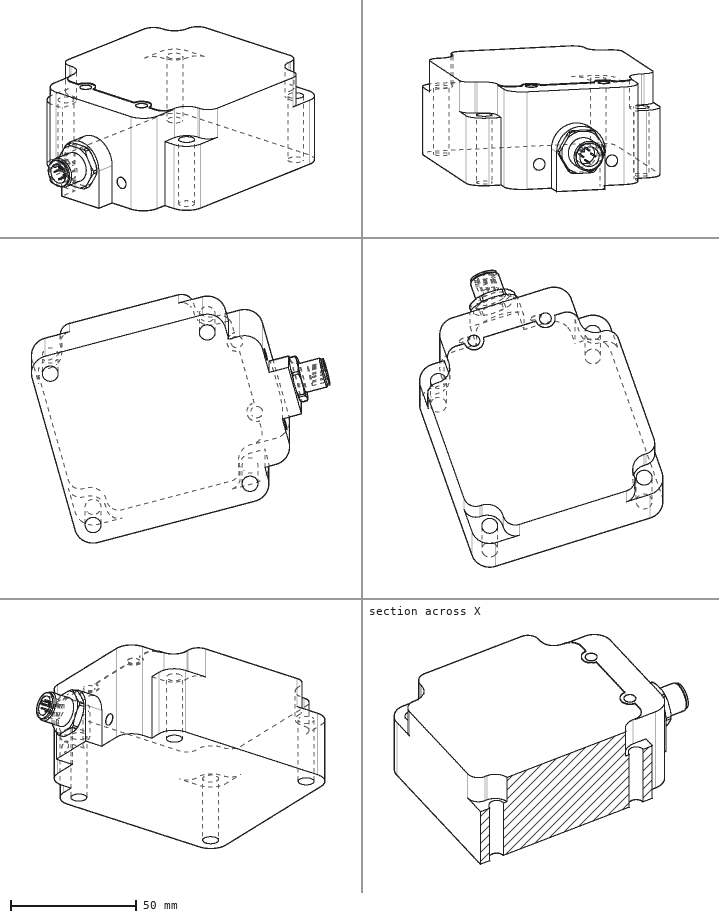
import cadquery as cq
import math

PLATE_SIDE = 80.0
PLATE_CORNER_RADIUS = 7.5
TOTAL_HEIGHT = 40.0
LID_RISE = 0.3
HOUSING_HEIGHT = TOTAL_HEIGHT - LID_RISE
HALF_SIDE = PLATE_SIDE / 2

HOLE_SPACING = 65.0
HOLE_DIAMETER = 6.3
STEP_DEPTH = 12.5
NECK_WIDTH = 55.0
STEP_WIDTH = (PLATE_SIDE - NECK_WIDTH) / 2
STEP_INNER_RADIUS = 6.5
STEP_OUTER_RADIUS = 5.0

NECK_LENGTH = 12.0
NECK_FRONT = -HALF_SIDE - NECK_LENGTH

LIGHT_OFFSET = 15.0
LIGHT_RADIUS = 2.4
LIGHT_RECESS = 0.1
LIGHT_NOTCH_RADIUS = 4.0
FRONT_LIGHT_HEIGHT = 10.0
TOP_LIGHT_CENTRES = [(-LIGHT_OFFSET, -HALF_SIDE), (LIGHT_OFFSET, -HALF_SIDE)]

CONNECTOR_HEIGHT = 16.0
BOSS_WIDTH = 20.0
BOSS_RADIUS = BOSS_WIDTH / 2
BOSS_LENGTH = 7.9
NUT_FLATS = 17.0
NUT_ROUNDING_DIAMETER = 19.0
NUT_LENGTH = 3.0
NUT_CHAMFER_LENGTH = 0.5
NUT_CHAMFER_DEPTH = 0.8
OVERALL_LENGTH = 113.0
THREAD_RADIUS = 6.0
THREAD_CHAMFER = 0.6
TIP_RADIUS = THREAD_RADIUS - THREAD_CHAMFER
TIP_LENGTH = 0.8
SOCKET_RADIUS = 4.0
SOCKET_DEPTH = 6.8
KEY_SIDE = 1.1
KEY_OFFSET = 2.6
PIN_RADIUS = 0.25
PIN_CIRCLE_RADIUS = 2.5
PIN_LENGTH = 6.4
KEY_LENGTH = PIN_LENGTH
PIN_COUNT = 4

BOSS_FRONT = NECK_FRONT - BOSS_LENGTH
NUT_FRONT = BOSS_FRONT - NUT_LENGTH
TIP_FRONT = HALF_SIDE - OVERALL_LENGTH
THREAD_FRONT = TIP_FRONT + TIP_LENGTH


def plane_facing_front(y, height=CONNECTOR_HEIGHT):
    """Sketch plane at Y = y whose normal points along -Y."""
    return cq.Workplane("XZ", origin=(0, y, height))


def round_bar(radius, back, front):
    """Cylinder on the connector axis between two Y positions."""
    return plane_facing_front(back).circle(radius).extrude(back - front)


def corner_step():
    """Cutter for the stepped corner at -X, -Y; mirrored for the others."""
    diagonal = math.sqrt(0.5)
    edge = -HALF_SIDE
    inner = edge + STEP_WIDTH
    outer_tangent = edge + STEP_OUTER_RADIUS
    inner_tangent = inner - STEP_INNER_RADIUS
    outer_mid_edge = edge + STEP_OUTER_RADIUS * (1 - diagonal)
    outer_mid_inner = inner + STEP_OUTER_RADIUS * (1 - diagonal)
    inner_mid = inner_tangent + STEP_INNER_RADIUS * diagonal
    outer_end = inner + STEP_OUTER_RADIUS
    outline = (
        cq.Workplane("XY", origin=(0, 0, TOTAL_HEIGHT - STEP_DEPTH))
        .moveTo(edge, edge)
        .lineTo(outer_end, edge)
        .threePointArc((outer_mid_inner, outer_mid_edge), (inner, outer_tangent))
        .lineTo(inner, inner_tangent)
        .threePointArc((inner_mid, inner_mid), (inner_tangent, inner))
        .lineTo(outer_tangent, inner)
        .threePointArc((outer_mid_edge, outer_mid_inner), (edge, outer_end))
        .close()
    )
    return outline.extrude(STEP_DEPTH)


def make_housing():
    """Plate with stepped corners and raised lid, the lower neck and the holes."""
    body = (
        cq.Workplane("XY")
        .rect(PLATE_SIDE, PLATE_SIDE)
        .extrude(TOTAL_HEIGHT)
        .edges("|Z")
        .fillet(PLATE_CORNER_RADIUS)
    )
    step = corner_step()
    for cutter in (step, step.mirror("YZ")):
        body = body.cut(cutter).cut(cutter.mirror("XZ"))

    notches = (
        cq.Workplane("XY", origin=(0, 0, HOUSING_HEIGHT))
        .pushPoints(TOP_LIGHT_CENTRES)
        .circle(LIGHT_NOTCH_RADIUS)
        .extrude(LID_RISE)
    )
    neck = (
        cq.Workplane("XY")
        .center(0, NECK_FRONT / 2)
        .rect(NECK_WIDTH, -NECK_FRONT)
        .extrude(HOUSING_HEIGHT)
        .edges("|Z and <Y")
        .fillet(PLATE_CORNER_RADIUS)
    )
    holes = (
        cq.Workplane("XY")
        .rect(HOLE_SPACING, HOLE_SPACING, forConstruction=True)
        .vertices()
        .circle(HOLE_DIAMETER / 2)
        .extrude(TOTAL_HEIGHT)
    )
    return body.cut(notches).union(neck).cut(holes)


def make_light_recesses():
    """Cutters for the two lights on the neck top and the two on its front."""
    top = (
        cq.Workplane("XY", origin=(0, 0, HOUSING_HEIGHT - LIGHT_RECESS))
        .pushPoints(TOP_LIGHT_CENTRES)
        .circle(LIGHT_RADIUS)
        .extrude(LIGHT_RECESS)
    )
    front = (
        plane_facing_front(NECK_FRONT + LIGHT_RECESS, FRONT_LIGHT_HEIGHT)
        .pushPoints([(-LIGHT_OFFSET, 0), (LIGHT_OFFSET, 0)])
        .circle(LIGHT_RADIUS)
        .extrude(LIGHT_RECESS)
    )
    return top.union(front)


def make_boss():
    """Arched block carrying the connector."""
    foot = (
        plane_facing_front(NECK_FRONT)
        .center(0, -CONNECTOR_HEIGHT / 2)
        .rect(BOSS_WIDTH, CONNECTOR_HEIGHT)
        .extrude(BOSS_LENGTH)
    )
    return foot.union(round_bar(BOSS_RADIUS, NECK_FRONT, BOSS_FRONT))


def make_nut():
    """Hexagonal nut with its corners turned down and chamfered at both ends."""
    hexagon = (
        plane_facing_front(BOSS_FRONT)
        .polygon(6, NUT_FLATS / math.cos(math.pi / 6))
        .extrude(NUT_LENGTH)
    )
    radius = NUT_ROUNDING_DIAMETER / 2
    end_radius = radius - NUT_CHAMFER_DEPTH
    turned = (
        cq.Workplane("XY", origin=(0, 0, CONNECTOR_HEIGHT))
        .moveTo(0, BOSS_FRONT)
        .lineTo(end_radius, BOSS_FRONT)
        .lineTo(radius, BOSS_FRONT - NUT_CHAMFER_LENGTH)
        .lineTo(radius, NUT_FRONT + NUT_CHAMFER_LENGTH)
        .lineTo(end_radius, NUT_FRONT)
        .lineTo(0, NUT_FRONT)
        .close()
        .revolve(360, (0, 0, 0), (0, 1, 0))
    )
    return hexagon.intersect(turned)


def make_plug():
    """Threaded sleeve with a narrower tip, a keyed socket and contact pins."""
    thread = round_bar(THREAD_RADIUS, NUT_FRONT, THREAD_FRONT)
    plug = thread.faces("<Y").chamfer(THREAD_CHAMFER)
    plug = plug.union(round_bar(TIP_RADIUS, NUT_FRONT, TIP_FRONT))
    socket_floor = TIP_FRONT + SOCKET_DEPTH
    plug = plug.cut(round_bar(SOCKET_RADIUS, socket_floor, TIP_FRONT))

    key = (
        plane_facing_front(socket_floor)
        .center(-KEY_OFFSET, KEY_OFFSET)
        .rect(KEY_SIDE, KEY_SIDE)
        .extrude(KEY_LENGTH)
    )
    pins = (
        plane_facing_front(socket_floor)
        .polarArray(PIN_CIRCLE_RADIUS, 0, 360, PIN_COUNT)
        .circle(PIN_RADIUS)
        .extrude(PIN_LENGTH)
    )
    return plug.union(key).union(pins)


result = (
    make_housing()
    .cut(make_light_recesses())
    .union(make_boss())
    .union(make_nut())
    .union(make_plug())
)